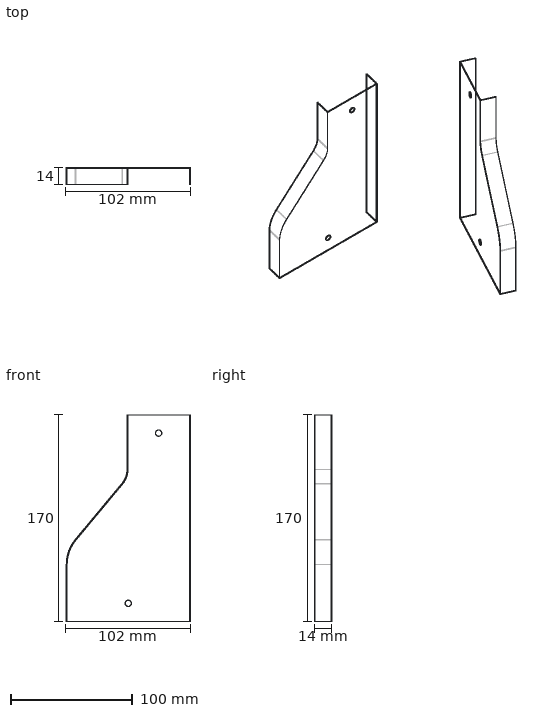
import cadquery as cq
import math

base_width = 102.0
flange_depth = 14.0
height = 170.0
sheet = 0.8

step_width = 50.0
lower_corner_z = 58.6
upper_corner_z = 118.65
lower_radius = 32.0
upper_radius = 18.0

hole_diameter = 5.0
hole_end_distance = 15.0

slope_angle = math.atan2(step_width, upper_corner_z - lower_corner_z)


def channel_outline(inset):
    """Closed XZ outline of the channel, with both side edges moved inward by the inset."""
    left = inset
    neck_left = step_width + inset
    right = base_width - inset
    convex_radius = lower_radius - inset
    concave_radius = upper_radius + inset

    corner_shift = inset * math.tan(slope_angle / 2)
    lower_z = lower_corner_z - corner_shift
    upper_z = upper_corner_z - corner_shift
    lower_tangent = convex_radius * math.tan(slope_angle / 2)
    upper_tangent = concave_radius * math.tan(slope_angle / 2)

    slope_x = math.sin(slope_angle)
    slope_z = math.cos(slope_angle)
    slope_start = (left + lower_tangent * slope_x, lower_z + lower_tangent * slope_z)
    slope_end = (neck_left - upper_tangent * slope_x, upper_z - upper_tangent * slope_z)

    return (
        cq.Workplane("XZ")
        .moveTo(right, 0)
        .lineTo(left, 0)
        .lineTo(left, lower_z - lower_tangent)
        .radiusArc(slope_start, convex_radius)
        .lineTo(*slope_end)
        .radiusArc((neck_left, upper_z + upper_tangent), -concave_radius)
        .lineTo(neck_left, height)
        .lineTo(right, height)
        .close()
    )


def make_channel():
    """Flat web at the back with a flange along each side, open at top, bottom and front."""
    block = channel_outline(0).extrude(flange_depth)
    hollow = channel_outline(sheet).extrude(flange_depth - sheet).translate((0, -sheet, 0))
    return block.cut(hollow)


def cut_holes(body):
    """Through holes in the web near the bottom and the top."""
    lower_hole = (base_width / 2, hole_end_distance)
    upper_hole = ((step_width + base_width) / 2, height - hole_end_distance)
    drills = (
        cq.Workplane("XZ")
        .pushPoints([lower_hole, upper_hole])
        .circle(hole_diameter / 2)
        .extrude(flange_depth)
    )
    return body.cut(drills)


result = cut_holes(make_channel())